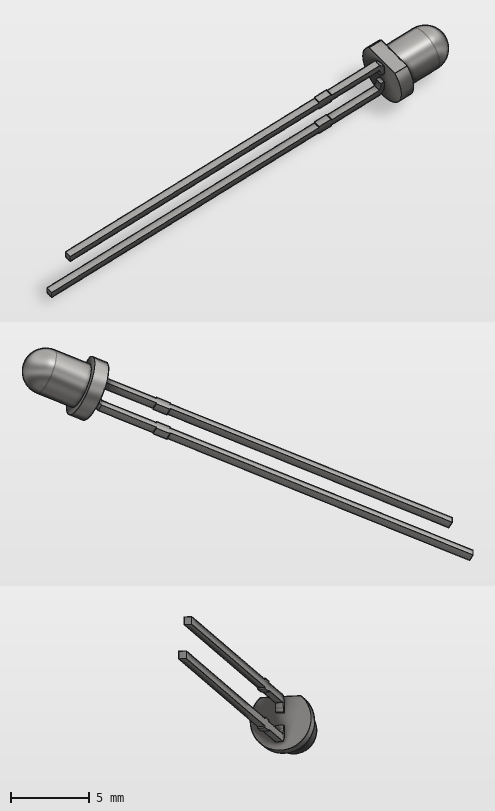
import cadquery as cq

flange_radius = 2.0
flange_thickness = 1.0
flat_height = 1.5
lens_radius = 1.5
housing_length = 5.0

lead_pitch = 2.54
lead_size = 0.5
anode_length = 27.0
cathode_length = 25.5
stop_start = 4.3
stop_length = 1.0
stop_height = 0.7

foot_thickness = 0.3
foot_end_height = 0.43
outer_bevel_length = 0.37
outer_bevel_height = 0.37
inner_bevel_length = 0.1
inner_bevel_height = 0.32


def make_housing():
    """Domed lens on a round flange with one flat side."""
    dome_start = housing_length - lens_radius
    lens = (
        cq.Workplane("XY")
        .moveTo(0, 0)
        .lineTo(lens_radius, 0)
        .lineTo(lens_radius, dome_start)
        .radiusArc((0, housing_length), -lens_radius)
        .close()
        .revolve(360, (0, 0), (0, 1))
    )
    flange = cq.Workplane("XZ").circle(flange_radius).extrude(-flange_thickness)
    flat_cut = (
        cq.Workplane("XY", origin=(0, 0, flat_height))
        .box(2 * flange_radius, 2 * flange_thickness, flange_radius, centered=(True, True, False))
    )
    return flange.cut(flat_cut).union(lens)


def make_lead(length):
    """Square lead on the +Z side, with a foot bent toward the housing axis and a stop bulge."""
    center_height = lead_pitch / 2
    outer_height = center_height + lead_size / 2
    inner_height = center_height - lead_size / 2
    stop_end = stop_start + stop_length
    stop_top = center_height + stop_height / 2
    stop_bottom = center_height - stop_height / 2

    outline = [
        (0, foot_end_height),
        (0, outer_height - outer_bevel_height),
        (-outer_bevel_length, outer_height),
        (-stop_start, outer_height),
        (-stop_start, stop_top),
        (-stop_end, stop_top),
        (-stop_end, outer_height),
        (-length, outer_height),
        (-length, inner_height),
        (-stop_end, inner_height),
        (-stop_end, stop_bottom),
        (-stop_start, stop_bottom),
        (-stop_start, inner_height),
        (-foot_thickness - inner_bevel_length, inner_height),
        (-foot_thickness, inner_height - inner_bevel_height),
        (-foot_thickness, foot_end_height),
    ]
    return cq.Workplane("YZ").polyline(outline).close().extrude(lead_size / 2, both=True)


housing = make_housing()
cathode_lead = make_lead(cathode_length)
anode_lead = make_lead(anode_length).mirror("XY")

result = cq.Compound.makeCompound([housing.val(), cathode_lead.val(), anode_lead.val()])